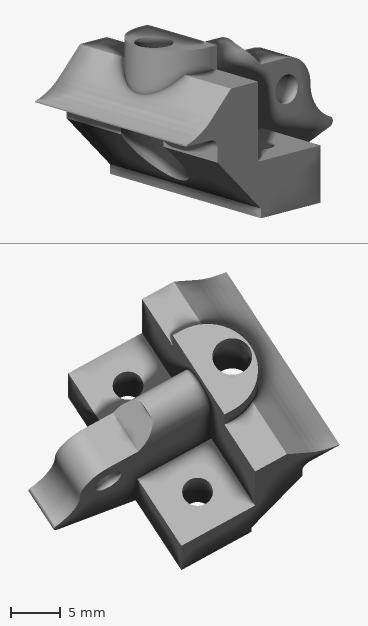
import cadquery as cq
import math

BODY_WIDTH = 22.2
BASE_FRONT_Y = 10.35
BASE_BACK_Y = 18.6
BASE_TOP_Z = 6.03
FOOT_HEIGHT = 1.02
WEB_FRONT_Y = 4.35
WALL_BACK_Y = 9.92
WALL_TOP_Z = 14.45
BEVEL_TOP_Y = 6.2
BEVEL_DROP = 2.85
LIP_BOTTOM_Z = 9.55
LIP_EDGE_THICKNESS = 0.15
LIP_FILLET = 1.0

BOSS_RADIUS = 5.1
BOSS_FRONT_Y = 3.78
BOSS_TOP_Z = 17.0
BOSS_HOLE_DIAMETER = 4.0
BOSS_HOLE_Y = 5.97
RECESS_DIAMETER = 7.02

BASE_HOLE_DIAMETER = 3.1
BASE_HOLE_SPACING = 13.65
BASE_HOLE_Y = 14.13

LUG_WIDTH = 4.98
PIVOT_Y = 22.03
PIVOT_Z = 9.4
PIVOT_HOLE_DIAMETER = 3.1
PIVOT_OUTER_RADIUS = 3.3
NOSE_ARC_RADIUS = 4.38
NOSE_ARC_ANGLE = 70.5
NOSE_END_Y = 28.43
NOSE_END_Z = 4.83
NOSE_LOWER_Y = 28.1
NOSE_LOWER_Z = 4.32
LUG_LOWER_Z = 0.9

RIDGE_TOP_Z = 15.5
RIDGE_BACK_Y = 16.05
RIDGE_STEP = 0.35


def extrude_across(profile, width):
    """Extrude a YZ profile symmetrically about X = 0."""
    return profile.extrude(width / 2, both=True)


def vertical_cylinder(x, y, diameter, bottom_z, top_z):
    circle = cq.Workplane("XY", origin=(x, y, bottom_z)).circle(diameter / 2)
    return circle.extrude(top_z - bottom_z)


def make_body():
    slope_top_z = FOOT_HEIGHT + BASE_FRONT_Y - WEB_FRONT_Y
    bevel_end = (BEVEL_TOP_Y - BEVEL_DROP, WALL_TOP_Z - BEVEL_DROP)
    fillet_mid = LIP_FILLET * (1 - math.sqrt(0.5))
    profile = (
        cq.Workplane("YZ")
        .moveTo(BASE_BACK_Y, 0)
        .lineTo(BASE_BACK_Y, BASE_TOP_Z)
        .lineTo(WALL_BACK_Y, BASE_TOP_Z)
        .lineTo(WALL_BACK_Y, WALL_TOP_Z)
        .lineTo(BEVEL_TOP_Y, WALL_TOP_Z)
        .lineTo(*bevel_end)
        .tangentArcPoint((0, LIP_BOTTOM_Z + LIP_EDGE_THICKNESS), relative=False)
        .lineTo(0, LIP_BOTTOM_Z)
        .lineTo(WEB_FRONT_Y - LIP_FILLET, LIP_BOTTOM_Z)
        .threePointArc(
            (WEB_FRONT_Y - fillet_mid, LIP_BOTTOM_Z - fillet_mid),
            (WEB_FRONT_Y, LIP_BOTTOM_Z - LIP_FILLET),
        )
        .lineTo(WEB_FRONT_Y, slope_top_z)
        .lineTo(BASE_FRONT_Y, FOOT_HEIGHT)
        .lineTo(BASE_FRONT_Y, 0)
        .close()
    )
    return extrude_across(profile, BODY_WIDTH)


def make_boss():
    """D-shaped boss, flush with the back of the wall."""
    center_y = BOSS_FRONT_Y + BOSS_RADIUS
    outline = (
        cq.Workplane("XY", origin=(0, 0, LIP_BOTTOM_Z))
        .moveTo(-BOSS_RADIUS, WALL_BACK_Y)
        .lineTo(-BOSS_RADIUS, center_y)
        .threePointArc((0, BOSS_FRONT_Y), (BOSS_RADIUS, center_y))
        .lineTo(BOSS_RADIUS, WALL_BACK_Y)
        .close()
    )
    return outline.extrude(BOSS_TOP_Z - LIP_BOTTOM_Z)


def make_lug():
    """Side outline of the lug and ridge, with the ridge top rounded across X."""
    lug_top_z = PIVOT_Z + PIVOT_OUTER_RADIUS
    lug_back_y = PIVOT_Y + PIVOT_OUTER_RADIUS
    step_z = RIDGE_TOP_Z - RIDGE_STEP
    bevel_foot_y = RIDGE_BACK_Y + step_z - lug_top_z

    def nose_arc_point(degrees):
        angle = math.radians(degrees)
        return (
            lug_back_y + NOSE_ARC_RADIUS * (1 - math.cos(angle)),
            PIVOT_Z - NOSE_ARC_RADIUS * math.sin(angle),
        )

    outer_mid = PIVOT_OUTER_RADIUS * math.sqrt(0.5)
    profile = (
        cq.Workplane("YZ")
        .moveTo(WALL_BACK_Y, BASE_TOP_Z)
        .lineTo(WALL_BACK_Y, RIDGE_TOP_Z)
        .lineTo(RIDGE_BACK_Y, RIDGE_TOP_Z)
        .lineTo(RIDGE_BACK_Y, step_z)
        .lineTo(bevel_foot_y, lug_top_z)
        .lineTo(PIVOT_Y, lug_top_z)
        .threePointArc((PIVOT_Y + outer_mid, PIVOT_Z + outer_mid), (lug_back_y, PIVOT_Z))
        .threePointArc(nose_arc_point(NOSE_ARC_ANGLE / 2), nose_arc_point(NOSE_ARC_ANGLE))
        .threePointArc((NOSE_END_Y, NOSE_END_Z), (NOSE_LOWER_Y, NOSE_LOWER_Z))
        .lineTo(BASE_BACK_Y, LUG_LOWER_Z)
        .lineTo(BASE_BACK_Y, BASE_TOP_Z)
        .close()
    )
    lug = extrude_across(profile, LUG_WIDTH)

    half_width = LUG_WIDTH / 2
    shoulder_z = RIDGE_TOP_Z - half_width
    rounded_section = (
        cq.Workplane("XZ", origin=(0, WALL_BACK_Y, 0))
        .moveTo(-half_width, 0)
        .lineTo(-half_width, shoulder_z)
        .threePointArc((0, RIDGE_TOP_Z), (half_width, shoulder_z))
        .lineTo(half_width, 0)
        .close()
        .extrude(WALL_BACK_Y - NOSE_END_Y)
    )
    pivot_hole = extrude_across(
        cq.Workplane("YZ").center(PIVOT_Y, PIVOT_Z).circle(PIVOT_HOLE_DIAMETER / 2), LUG_WIDTH
    )
    return lug.intersect(rounded_section).cut(pivot_hole)


result = make_body().union(make_boss()).union(make_lug())

result = result.cut(vertical_cylinder(0, BOSS_HOLE_Y, BOSS_HOLE_DIAMETER, 0, BOSS_TOP_Z))
result = result.cut(vertical_cylinder(0, BOSS_HOLE_Y, RECESS_DIAMETER, 0, LIP_BOTTOM_Z))

for side in (-1, 1):
    hole_x = side * BASE_HOLE_SPACING / 2
    result = result.cut(vertical_cylinder(hole_x, BASE_HOLE_Y, BASE_HOLE_DIAMETER, 0, BASE_TOP_Z))